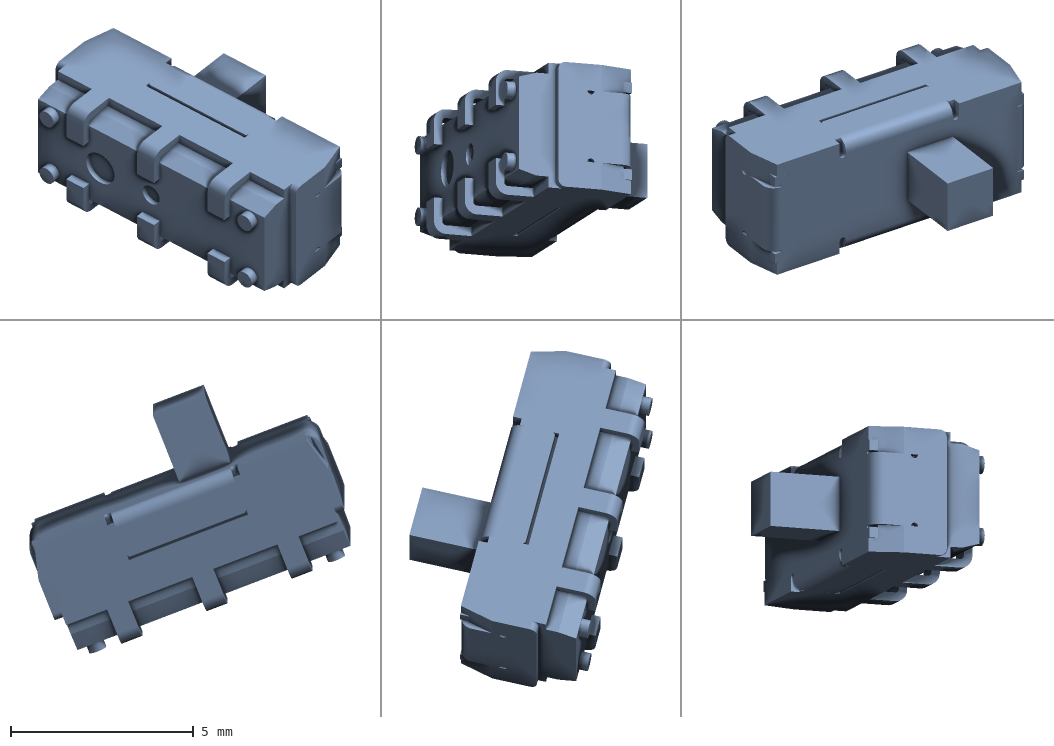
import cadquery as cq


length = 8.5
height = 3.5
total_depth = 5.5
housing_depth = 3.25
sheet = 0.25
bend_outer = 0.35
bend_inner = bend_outer - sheet
square_bend = 0.0
half_length = length / 2
half_height = height / 2
end_face = half_length - sheet
plate_back = housing_depth - sheet

shoulder_start = 1.895
shoulder_end = 2.3
step_depth = 0.31
step_end = 0.85
taper_start = 0.5
taper_depth = 0.45

peg_diameter = 0.5
peg_x = 3.5
peg_z = 1.0
hole_depth = 0.15
large_hole_diameter = 1.0
large_hole_x = -1.8
small_hole_diameter = 0.6

side_tab_width = 3.5
side_tab_tip = 2.0
side_tab_chamfer = 0.06
end_tab_width = 2.01
end_tab_tip = 1.05
end_tab_corner = 0.2
wing_reach = 4.08
wing_height = 2.74
lobe_end = 3.14
relief_radius = 0.1
slit_width = 0.07

slider_width = 1.5
slider_height = 1.51
slider_x = -1.0
slider_reach = total_depth - sheet

terminal_width = 0.6
terminal_pitch = 2.5
terminal_back = 1.05
foot_end = 0.75


def block(x_range, y_range, z_range):
    """Box between the given limits along X, Y and Z."""
    x0, x1 = x_range
    y0, y1 = y_range
    z0, z1 = z_range
    return cq.Workplane("XY").box(x1 - x0, y1 - y0, z1 - z0, centered=False).translate((x0, y0, z0))


def rod(axis_x, axis_z, diameter, y_start, y_end):
    """Cylinder along Y."""
    plane = cq.Workplane("XZ", origin=(axis_x, y_start, axis_z))
    return plane.circle(diameter / 2).extrude(y_start - y_end)


def strap(span, width, tip, outer_radius):
    """Folded U in the XY plane: a web at the +Y face and two arms that reach to y = tip."""
    reach = housing_depth - tip
    outer = block((-span / 2, span / 2), (tip, housing_depth), (-width / 2, width / 2))
    if outer_radius > 0:
        outer = outer.edges("|Z and >Y").fillet(outer_radius)
    inner = (
        cq.Workplane("XY")
        .box(span - 2 * sheet, reach - sheet, width, centered=(True, False, True))
        .translate((0, tip, 0))
        .edges("|Z and >Y")
        .fillet(bend_inner)
    )
    return outer.cut(inner)


def side_strap(tip, outer_radius):
    """Strap whose arms lie in the top and bottom faces of the housing."""
    return strap(height, side_tab_width, tip, outer_radius).rotate((0, 0, 0), (0, 1, 0), 90)


def end_strap(tip, outer_radius):
    """Strap whose arms lie on the two ends of the housing."""
    return strap(length, end_tab_width, tip, outer_radius)


def terminal(x, side):
    """L-shaped terminal; side is +1 at the top edge and -1 at the bottom edge."""
    outer_z = side * half_height
    inner_z = side * (half_height - sheet)
    return (
        cq.Workplane("YZ", origin=(x - terminal_width / 2, 0, 0))
        .moveTo(terminal_back, outer_z)
        .lineTo(bend_inner, outer_z)
        .radiusArc((-sheet, side * (half_height - bend_outer)), -side * bend_outer)
        .lineTo(-sheet, side * foot_end)
        .lineTo(0, side * foot_end)
        .lineTo(0, side * (half_height - bend_outer))
        .radiusArc((bend_inner, inner_z), side * bend_inner)
        .lineTo(terminal_back, inner_z)
        .close()
        .extrude(terminal_width)
    )


def cover_plate():
    """Flat front of the cover, with wings at its ends and lobes beside the side tabs."""
    wing_half = wing_height / 2
    plate_y = (plate_back, housing_depth)
    plate = block((-wing_reach, wing_reach), plate_y, (-wing_half, wing_half))
    bend_start = half_length - bend_outer
    slit_half = end_tab_width / 2 + slit_width
    lobe_start = side_tab_width / 2 + 2 * relief_radius
    for side in (-1, 1):
        lobe_x = sorted((side * lobe_start, side * lobe_end))
        plate = plate.union(block(lobe_x, plate_y, (-half_height, half_height)))
        bend_x = sorted((side * bend_start, side * wing_reach))
        plate = plate.cut(block(bend_x, plate_y, (-slit_half, slit_half)))
    for x_side in (-1, 1):
        for z_side in (-1, 1):
            relief_x = x_side * (side_tab_width / 2 + relief_radius)
            plate = plate.cut(rod(relief_x, z_side * wing_half, 2 * relief_radius, *plate_y))
            slit_z = z_side * (end_tab_width + slit_width) / 2
            plate = plate.cut(rod(x_side * bend_start, slit_z, slit_width, *plate_y))
    return plate


def make_cover(slider):
    side_tabs = side_strap(side_tab_tip, bend_outer)
    side_tabs = side_tabs.faces("<Y").edges("|Z").chamfer(side_tab_chamfer)
    end_tabs = end_strap(end_tab_tip, bend_outer)
    cover = cover_plate().union(side_tabs).union(end_tabs)
    for side in (-1, 1):
        end_x = sorted((side * end_face, side * half_length))
        foot = block(end_x, (end_tab_tip, shoulder_start), (-half_height, half_height))
        cover = cover.union(foot.edges("|X and <Y").fillet(end_tab_corner))
        for z_side in (-1, 1):
            relief = (
                cq.Workplane("YZ", origin=(end_x[0], 0, 0))
                .center(shoulder_start + relief_radius, z_side * end_tab_width / 2)
                .circle(relief_radius)
                .extrude(sheet)
            )
            cover = cover.cut(relief)
    return cover.cut(slider)


def make_slider():
    return (
        cq.Workplane("XY")
        .box(slider_width, slider_reach - plate_back, slider_height, centered=(True, False, True))
        .translate((slider_x, plate_back, 0))
    )


def housing_block():
    """Ends shaped in the XY plane, stepped and tapered long edges shaped in the YZ plane."""
    ends = [
        (end_face, 0),
        (end_face, shoulder_start),
        (half_length, shoulder_start),
        (half_length, shoulder_end),
        (end_face, housing_depth),
    ]
    edges = [
        (0, half_height - taper_depth),
        (taper_start, half_height - step_depth),
        (step_end, half_height - step_depth),
        (step_end, half_height),
        (housing_depth, half_height),
    ]
    mirrored_ends = [(-x, y) for x, y in reversed(ends)]
    mirrored_edges = [(y, -z) for y, z in reversed(edges)]
    plan = cq.Workplane("XY").polyline(ends + mirrored_ends).close().extrude(half_height, both=True)
    section = cq.Workplane("YZ").polyline(edges + mirrored_edges).close().extrude(half_length, both=True)
    return plan.intersect(section)


def make_housing(terminals):
    housing = housing_block()

    plate_y = (plate_back, housing_depth)
    housing = housing.cut(block((-half_length, half_length), plate_y, (-wing_height / 2, wing_height / 2)))
    housing = housing.cut(block((-lobe_end, lobe_end), plate_y, (-half_height, half_height)))
    housing = housing.cut(side_strap(shoulder_start, square_bend))
    housing = housing.cut(end_strap(shoulder_start, square_bend))

    for piece in terminals:
        housing = housing.cut(piece)

    for x in (-peg_x, peg_x):
        for z in (-peg_z, peg_z):
            housing = housing.union(rod(x, z, peg_diameter, -sheet, 0))
    housing = housing.cut(rod(large_hole_x, 0, large_hole_diameter, 0, hole_depth))
    return housing.cut(rod(0, 0, small_hole_diameter, 0, hole_depth))


terminals = [terminal(column * terminal_pitch, side) for column in (-1, 0, 1) for side in (-1, 1)]
slider = make_slider()
cover = make_cover(slider)
housing = make_housing(terminals)

result = cq.Compound.makeCompound(
    [
        housing.solids().val(),
        cover.solids().val(),
        slider.val(),
        *[piece.val() for piece in terminals],
    ]
)